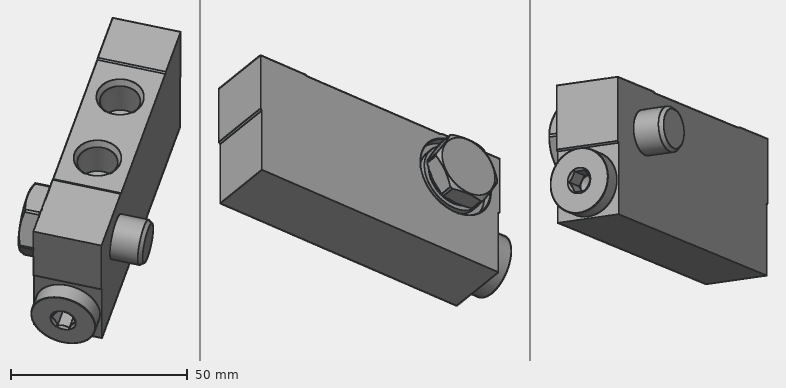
import cadquery as cq
import math

BLOCK_WIDTH = 20.0
BLOCK_HEIGHT = 40.0
FOOT_LENGTH = 83.0
STEP_OUT = 0.5
STEP_TOP_Z = 21.3
TOP_RELIEF = 0.3
RELIEF_RAMP = 0.6
FRONT_PAD = 20.3
REAR_PAD = 15.7

PORT_DIAMETER = 11.45
PORT_MOUTH_DIAMETER = 13.5
PORT_DEPTH = 12.0
PORT_MOUTH_DEPTH = 1.8
REAR_PORT_Y = 55.4
PORT_SPACING = 24.0

BOLT_Y = 15.0
BOLT_Z = 27.0
SPOTFACE_DIAMETER = 24.5
SPOTFACE_DEPTH = 3.0
SPOTFACE_CHAMFER = 0.2
COLLAR_DIAMETER = 20.7
COLLAR_RECESS = 0.9
HEAD_FLATS = 19.0
HEAD_CORNER_DIAMETER = 21.5
HEAD_FACE_DIAMETER = 18.5
NECK_DIAMETER = 17.8
HEAD_PROJECTION = 6.15
HEAD_CHAMFER_LENGTH = 0.9
NECK_LENGTH = 1.0
THREAD_DIAMETER = 13.16
THREAD_TIP_DIAMETER = 11.45
THREAD_TIP_LENGTH = 1.2
THREAD_PROJECTION = 9.35

PLUG_DIAMETER = 18.9
PLUG_LENGTH = 5.0
PLUG_CHAMFER = 0.1
PLUG_Z = 10.0
SOCKET_FLATS = 6.0
SOCKET_DEPTH = 6.0
SOCKET_MOUTH_DIAMETER = 7.5
DRILL_POINT_SLOPE = 30.0

HALF_WIDTH = BLOCK_WIDTH / 2
FRONT_Y = -STEP_OUT
REAR_Y = FOOT_LENGTH + STEP_OUT


def across_corners(across_flats):
    """Diameter of the circle through the corners of a hexagon."""
    return across_flats / math.cos(math.radians(30))


def make_block():
    """Side outline with overhanging ends and a relieved top, extruded across the width."""
    relief_z = BLOCK_HEIGHT - TOP_RELIEF
    step_bottom_z = STEP_TOP_Z - STEP_OUT
    outline = [
        (0, 0),
        (FOOT_LENGTH, 0),
        (FOOT_LENGTH, step_bottom_z),
        (REAR_Y, STEP_TOP_Z),
        (REAR_Y, BLOCK_HEIGHT),
        (REAR_Y - REAR_PAD, BLOCK_HEIGHT),
        (REAR_Y - REAR_PAD - RELIEF_RAMP, relief_z),
        (FRONT_Y + FRONT_PAD + RELIEF_RAMP, relief_z),
        (FRONT_Y + FRONT_PAD, BLOCK_HEIGHT),
        (FRONT_Y, BLOCK_HEIGHT),
        (FRONT_Y, STEP_TOP_Z),
        (0, step_bottom_z),
    ]
    return cq.Workplane("YZ").polyline(outline).close().extrude(HALF_WIDTH, both=True)


def make_port(y):
    """Blind port with a countersunk mouth, as a cutting body."""
    top_z = BLOCK_HEIGHT - TOP_RELIEF
    bore_radius = PORT_DIAMETER / 2
    mouth_radius = PORT_MOUTH_DIAMETER / 2
    profile = [
        (0, top_z),
        (mouth_radius, top_z),
        (bore_radius, top_z - PORT_MOUTH_DEPTH),
        (bore_radius, top_z - PORT_DEPTH),
        (0, top_z - PORT_DEPTH),
    ]
    port = cq.Workplane("XZ").polyline(profile).close().revolve(360, (0, 0), (0, 1))
    return port.translate((0, y, 0))


def turned_about_bolt(profile):
    """Revolve an (x, radius) profile about the bolt axis."""
    axis_plane = cq.Workplane("XZ", origin=(0, BOLT_Y, BOLT_Z))
    return axis_plane.polyline(profile).close().revolve(360, (0, 0), (1, 0))


def make_spotface():
    """Round recess with a chamfered rim, as a cutting body."""
    side_x = -HALF_WIDTH
    floor_x = side_x + SPOTFACE_DEPTH
    wall_radius = SPOTFACE_DIAMETER / 2
    return turned_about_bolt([
        (side_x, 0),
        (side_x, wall_radius + SPOTFACE_CHAMFER),
        (side_x + SPOTFACE_CHAMFER, wall_radius),
        (floor_x, wall_radius),
        (floor_x, 0),
    ])


def make_bolt_head():
    """Hexagon with a chamfer at both ends, on a short neck and a round collar in the spotface."""
    outer_x = -HALF_WIDTH - HEAD_PROJECTION
    floor_x = -HALF_WIDTH + SPOTFACE_DEPTH
    collar_x = -HALF_WIDTH + COLLAR_RECESS
    inner_x = collar_x - NECK_LENGTH
    corner_radius = HEAD_CORNER_DIAMETER / 2
    face_radius = HEAD_FACE_DIAMETER / 2
    neck_radius = NECK_DIAMETER / 2
    collar_radius = COLLAR_DIAMETER / 2
    envelope = turned_about_bolt([
        (outer_x, 0),
        (outer_x, face_radius),
        (outer_x + HEAD_CHAMFER_LENGTH, corner_radius),
        (inner_x - HEAD_CHAMFER_LENGTH, corner_radius),
        (inner_x, face_radius),
        (inner_x, 0),
    ])
    head_plane = cq.Workplane("YZ", origin=(outer_x, BOLT_Y, BOLT_Z))
    hexagon = head_plane.polygon(6, across_corners(HEAD_FLATS)).extrude(inner_x - outer_x)
    neck_and_collar = turned_about_bolt([
        (inner_x, 0),
        (inner_x, neck_radius),
        (collar_x, neck_radius),
        (collar_x, collar_radius),
        (floor_x, collar_radius),
        (floor_x, 0),
    ])
    return hexagon.intersect(envelope).union(neck_and_collar)


def make_bolt_end():
    """Threaded end as a plain cylinder with a tapered tip, rooted in the middle of the block."""
    tip_x = HALF_WIDTH + THREAD_PROJECTION
    thread_radius = THREAD_DIAMETER / 2
    return turned_about_bolt([
        (0, 0),
        (0, thread_radius),
        (tip_x - THREAD_TIP_LENGTH, thread_radius),
        (tip_x, THREAD_TIP_DIAMETER / 2),
        (tip_x, 0),
    ])


def make_plug():
    """Round plug head on the front of the foot."""
    disc = cq.Workplane("XZ", origin=(0, 0, PLUG_Z)).circle(PLUG_DIAMETER / 2).extrude(PLUG_LENGTH)
    return disc.faces("<Y").chamfer(PLUG_CHAMFER)


def make_cone(base_radius, height, base_y):
    """Cone on the plug axis, pointing into the plug."""
    return cq.Workplane(cq.Solid.makeCone(
        base_radius,
        0,
        height,
        cq.Vector(0, base_y, PLUG_Z),
        cq.Vector(0, 1, 0),
    ))


def make_socket():
    """Hexagon socket with a conical bottom and a countersunk mouth, as a cutting body."""
    face_y = -PLUG_LENGTH
    face = cq.Workplane("XZ", origin=(0, face_y, PLUG_Z))
    hexagon = face.polygon(6, across_corners(SOCKET_FLATS)).extrude(-SOCKET_DEPTH)
    mouth_radius = SOCKET_MOUTH_DIAMETER / 2
    mouth = make_cone(mouth_radius, mouth_radius, face_y)
    bottom_radius = SOCKET_FLATS / 2
    bottom_height = bottom_radius * math.tan(math.radians(DRILL_POINT_SLOPE))
    bottom = make_cone(bottom_radius, bottom_height, face_y + SOCKET_DEPTH)
    return hexagon.union(mouth).union(bottom)


result = make_block()
for port_y in (REAR_PORT_Y, REAR_PORT_Y - PORT_SPACING):
    result = result.cut(make_port(port_y))
result = result.cut(make_spotface())
result = result.union(make_bolt_head()).union(make_bolt_end())
result = result.union(make_plug()).cut(make_socket())